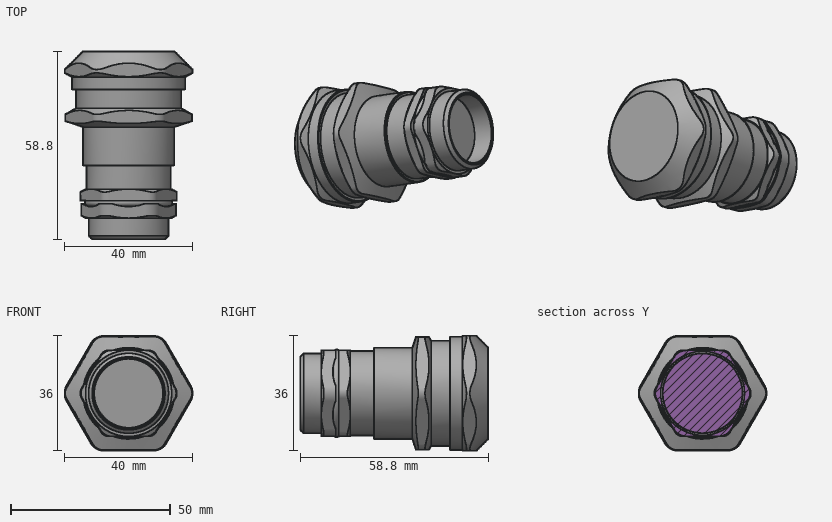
import cadquery as cq
import math

total_length = 58.75

nose_diameter = 25.0
nose_rim_diameter = 22.85
neck_diameter = 26.5
sleeve_diameter = 28.6
barrel_diameter = 33.0
collar_diameter = 35.5
edge_break_length = 0.2
edge_break_depth = 0.3

nose_chamfer_length = 1.1
neck_end = 23.05
sleeve_end = 35.1
barrel_end = 46.75
collar_end = 50.7

bore_diameter = 21.5
bore_mouth_diameter = 22.05
bore_depth = 6.95

ring_diameter = 27.45
ring_thickness = 2.1
ring_station = 11.4

lock_nut_flats = 26.95
lock_nut_corner_radius = 4.65
lock_nut_start = 6.65
lock_nut_end = 11.1
lock_nut_dish_diameter = 28.8

neck_nut_flats = 26.95
neck_nut_corner_radius = 2.95
neck_nut_start = 12.1
neck_nut_end = 15.7

body_nut_flats = 35.3
body_nut_corner_radius = 3.5
body_nut_start = sleeve_end
body_nut_end = 40.95

cap_flats = 36.0
cap_corner_radius = 5.0
cap_start = collar_end
cap_end = total_length
cap_face_diameter = 28.65

nut_chamfer_angle = 30.0
body_nut_front_angle = 18.5
cap_chamfer_angle = 45.0


def turned(outline):
    """Solid of revolution about Y from (radius, station) points."""
    return cq.Workplane("XY").polyline(outline).close().revolve(360, (0, 0, 0), (0, 1, 0))


def hex_bar(flats, corner_radius, start, end):
    """Hexagonal bar along Y with rounded corners on the X axis and flats facing Z."""
    corner_diameter = flats / math.cos(math.pi / 6)
    return (
        cq.Workplane("XZ", origin=(0, start, 0))
        .polygon(6, corner_diameter)
        .extrude(start - end)
        .edges("|Y")
        .fillet(corner_radius)
    )


def chamfer_cone(face_diameter, face_station, angle, reach):
    """Cone that widens from an end face over the axial distance reach.

    A negative reach points to the nose; the angle is measured from the end face.
    """
    face_radius = face_diameter / 2
    wide_radius = face_radius + abs(reach) / math.tan(math.radians(angle))
    return turned([
        (0, face_station),
        (face_radius, face_station),
        (wide_radius, face_station + reach),
        (0, face_station + reach),
    ])


def make_body():
    nose_radius = nose_diameter / 2
    neck_radius = neck_diameter / 2
    sleeve_radius = sleeve_diameter / 2
    barrel_radius = barrel_diameter / 2
    collar_radius = collar_diameter / 2
    return turned([
        (0, 0),
        (nose_rim_diameter / 2, 0),
        (nose_radius, nose_chamfer_length),
        (nose_radius, neck_nut_end),
        (neck_radius, neck_nut_end),
        (neck_radius, neck_end),
        (sleeve_radius - edge_break_depth, neck_end),
        (sleeve_radius, neck_end + edge_break_length),
        (sleeve_radius, body_nut_end),
        (barrel_radius, body_nut_end),
        (barrel_radius, barrel_end),
        (collar_radius - edge_break_depth, barrel_end),
        (collar_radius, barrel_end + edge_break_length),
        (collar_radius, collar_end),
        (0, collar_end),
    ])


def make_lock_nut():
    """Nut chamfered towards the nose and dished at 45 degrees where the sealing ring sits."""
    length = lock_nut_end - lock_nut_start
    nut = hex_bar(lock_nut_flats, lock_nut_corner_radius, lock_nut_start, lock_nut_end)
    nut = nut.intersect(chamfer_cone(lock_nut_flats, lock_nut_start, nut_chamfer_angle, length))
    dish_radius = lock_nut_dish_diameter / 2
    dish_floor_radius = nose_diameter / 2
    dish_floor = lock_nut_end - (dish_radius - dish_floor_radius)
    dish = turned([
        (0, lock_nut_end),
        (dish_radius, lock_nut_end),
        (dish_floor_radius, dish_floor),
        (0, dish_floor),
    ])
    return nut.cut(dish)


def make_neck_nut():
    length = neck_nut_end - neck_nut_start
    nut = hex_bar(neck_nut_flats, neck_nut_corner_radius, neck_nut_start, neck_nut_end)
    return nut.intersect(chamfer_cone(neck_nut_flats, neck_nut_end, nut_chamfer_angle, -length))


def make_body_nut():
    length = body_nut_end - body_nut_start
    nut = hex_bar(body_nut_flats, body_nut_corner_radius, body_nut_start, body_nut_end)
    nut = nut.intersect(chamfer_cone(sleeve_diameter, body_nut_start, body_nut_front_angle, length))
    return nut.intersect(chamfer_cone(barrel_diameter, body_nut_end, nut_chamfer_angle, -length))


def make_cap():
    length = cap_end - cap_start
    cap = hex_bar(cap_flats, cap_corner_radius, cap_start, cap_end)
    cap = cap.intersect(chamfer_cone(collar_diameter, cap_start, nut_chamfer_angle, length))
    return cap.intersect(chamfer_cone(cap_face_diameter, cap_end, cap_chamfer_angle, -length))


def make_sealing_ring():
    """Disc with a half-round rim."""
    tube_radius = ring_thickness / 2
    outer_radius = ring_diameter / 2
    tube_centre_radius = outer_radius - tube_radius
    return (
        cq.Workplane("XY")
        .moveTo(0, ring_station - tube_radius)
        .lineTo(tube_centre_radius, ring_station - tube_radius)
        .threePointArc((outer_radius, ring_station), (tube_centre_radius, ring_station + tube_radius))
        .lineTo(0, ring_station + tube_radius)
        .close()
        .revolve(360, (0, 0, 0), (0, 1, 0))
    )


def make_bore():
    mouth_chamfer = (bore_mouth_diameter - bore_diameter) / 2
    return turned([
        (0, 0),
        (bore_mouth_diameter / 2, 0),
        (bore_diameter / 2, mouth_chamfer),
        (bore_diameter / 2, bore_depth),
        (0, bore_depth),
    ])


result = make_body()
for piece in (make_lock_nut(), make_neck_nut(), make_body_nut(), make_cap(), make_sealing_ring()):
    result = result.union(piece)
result = result.cut(make_bore())